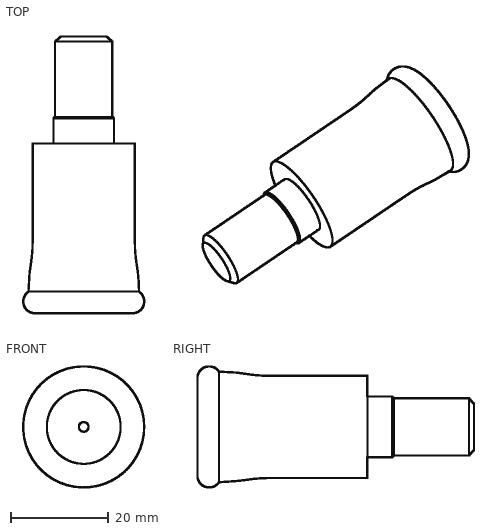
import cadquery as cq
import math

total_length = 57.0
bead_back = 4.5
flare_front = 4.7
flare_middle = 9.85
flare_back = 14.9
body_back = 35.0
collar_back = 40.45
collar_chamfer = 0.35
tip_chamfer_length = 1.1

bead_outer_radius = 12.5
bead_section_radius = 2.45
flare_radius = 11.4
body_radius = 10.55
collar_radius = 6.25
shank_radius = 5.9
tip_radius = 4.75

recess_floor = 2.1
dish_depth = 0.5
hole_radius = 1.0
hole_depth = 2.0
drill_tip_angle = 118.0

bead_centre_radius = bead_outer_radius - bead_section_radius
dish_bottom = recess_floor + dish_depth
flare_middle_radius = body_radius + (flare_radius - body_radius) * (
    (flare_back - flare_middle) / (flare_back - flare_front)
)


def bead_half_width(y):
    """Radial half-width of the bead's round section at axial position y."""
    return math.sqrt(bead_section_radius**2 - (y - bead_section_radius) ** 2)


recess_radius = bead_centre_radius - bead_half_width(recess_floor)
bead_end_radius = bead_centre_radius + bead_half_width(bead_back)


def revolve_about_y(profile):
    return profile.close().revolve(360, (0, 0, 0), (0, 1, 0))


def flare_arc_midpoint(tangent_radius, tangent_y):
    """Halfway point of an arc that is parallel to Y at the given end and ends at the flare middle."""
    radial = flare_middle_radius - tangent_radius
    axial = flare_middle - tangent_y
    turn = 2 * math.atan2(abs(radial), abs(axial))
    arc_radius = abs(axial) / math.sin(turn)
    return (
        tangent_radius + math.copysign(arc_radius * (1 - math.cos(turn / 2)), radial),
        tangent_y + math.copysign(arc_radius * math.sin(turn / 2), axial),
    )


def make_body():
    """Turned solid: bead, S-shaped flare, body, collar and chamfered shank."""
    profile = (
        cq.Workplane("XY")
        .moveTo(0, dish_bottom)
        .lineTo(recess_radius, recess_floor)
        .threePointArc((bead_centre_radius, 0), (bead_end_radius, bead_back))
        .lineTo(flare_radius, bead_back)
        .lineTo(flare_radius, flare_front)
        .threePointArc(
            flare_arc_midpoint(flare_radius, flare_front),
            (flare_middle_radius, flare_middle),
        )
        .threePointArc(
            flare_arc_midpoint(body_radius, flare_back),
            (body_radius, flare_back),
        )
        .lineTo(body_radius, body_back)
        .lineTo(collar_radius, body_back)
        .lineTo(collar_radius, collar_back - collar_chamfer)
        .lineTo(shank_radius, collar_back)
        .lineTo(shank_radius, total_length - tip_chamfer_length)
        .lineTo(tip_radius, total_length)
        .lineTo(0, total_length)
    )
    return revolve_about_y(profile)


def make_hole():
    """Blind drilled hole with a conical end, reaching into the open recess."""
    wall_end = dish_bottom + hole_depth
    cone_length = hole_radius / math.tan(math.radians(drill_tip_angle / 2))
    profile = (
        cq.Workplane("XY")
        .lineTo(hole_radius, 0)
        .lineTo(hole_radius, wall_end)
        .lineTo(0, wall_end + cone_length)
    )
    return revolve_about_y(profile)


result = make_body().cut(make_hole())